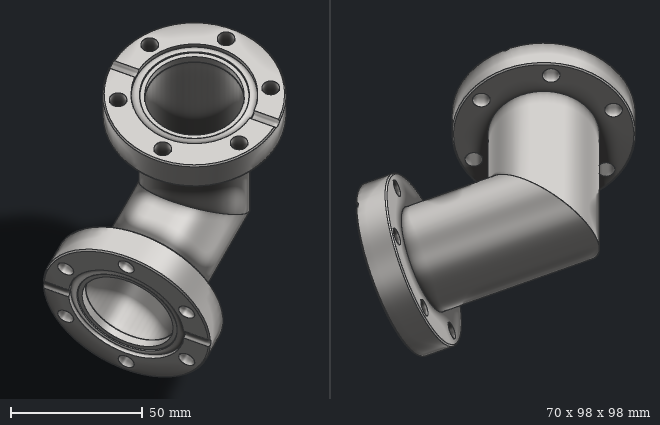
import cadquery as cq
import math


flange_diameter = 70.0
flange_radius = flange_diameter / 2
flange_thickness = 13.0
flange_chamfer = 0.6
overall_length = 98.0
face_height = overall_length - flange_radius
flange_back = face_height - flange_thickness
flange_bore_diameter = 38.0

recess_diameter = 48.3
knife_tip_diameter = 41.9
knife_base_diameter = 41.6
knife_tip_depth = 0.8
knife_slope = 20.0
knife_rise = (recess_diameter - knife_tip_diameter) / 2 * math.tan(math.radians(knife_slope))
recess_depth = knife_tip_depth + knife_rise
seat_depth = 1.3

bolt_count = 6
bolt_hole_diameter = 6.7
bolt_circle_diameter = 58.5

groove_radius = 2.3
groove_depth = 1.3

tube_diameter = 42.4
tube_bore_diameter = 38.4
socket_diameter = 42.6
socket_shoulder_depth = 4.8
tube_end = face_height - socket_shoulder_depth


def flange_blank():
    """Bored and chamfered disc with the tube socket in its back."""
    disc = (
        cq.Workplane("XY", origin=(0, 0, flange_back))
        .circle(flange_radius)
        .extrude(flange_thickness)
        .edges()
        .chamfer(flange_chamfer)
    )
    bore = (
        cq.Workplane("XY", origin=(0, 0, flange_back))
        .circle(flange_bore_diameter / 2)
        .extrude(flange_thickness)
    )
    socket = (
        cq.Workplane("XY", origin=(0, 0, flange_back))
        .circle(socket_diameter / 2)
        .extrude(tube_end - flange_back)
    )
    return disc.cut(bore).cut(socket)


def sealing_recess():
    """Recess cutter whose floor forms the knife edge and the seat inside it."""
    return (
        cq.Workplane("XZ")
        .moveTo(0, face_height)
        .lineTo(recess_diameter / 2, face_height)
        .lineTo(recess_diameter / 2, face_height - recess_depth)
        .lineTo(knife_tip_diameter / 2, face_height - knife_tip_depth)
        .lineTo(knife_base_diameter / 2, face_height - seat_depth)
        .lineTo(0, face_height - seat_depth)
        .close()
        .revolve(360, (0, 0, 0), (0, 1, 0))
    )


def bolt_holes():
    """Ring of through-hole cutters, the first one on the +Y side."""
    return (
        cq.Workplane("XY", origin=(0, 0, flange_back))
        .polarArray(bolt_circle_diameter / 2, 90, 360, bolt_count)
        .circle(bolt_hole_diameter / 2)
        .extrude(flange_thickness)
    )


def leak_check_grooves():
    """Two face groove cutters along X, each from the recess wall to the rim."""
    rod = (
        cq.Workplane("YZ", origin=(0, 0, face_height - groove_depth + groove_radius))
        .circle(groove_radius)
        .extrude(flange_radius, both=True)
    )
    knife_zone = (
        cq.Workplane("XY", origin=(0, 0, flange_back))
        .circle(recess_diameter / 2)
        .extrude(2 * flange_thickness)
    )
    return rod.cut(knife_zone)


def make_flange():
    return flange_blank().cut(sealing_recess()).cut(bolt_holes()).cut(leak_check_grooves())


def make_tube():
    """Vertical tube, cut off at its lower end by the mitre plane z = -y."""
    outer = tube_diameter / 2
    side = (
        cq.Workplane("YZ")
        .polyline([(-outer, outer), (outer, -outer), (outer, tube_end), (-outer, tube_end)])
        .close()
        .extrude(outer, both=True)
    )
    pipe = (
        cq.Workplane("XY", origin=(0, 0, -outer))
        .circle(outer)
        .circle(tube_bore_diameter / 2)
        .extrude(tube_end + outer)
    )
    return pipe.intersect(side)


bodies = []
for turn in (0, 180):
    for body in (make_flange(), make_tube()):
        bodies.append(body.rotate((0, 0, 0), (0, -1, 1), turn).val())

result = cq.Compound.makeCompound(bodies)